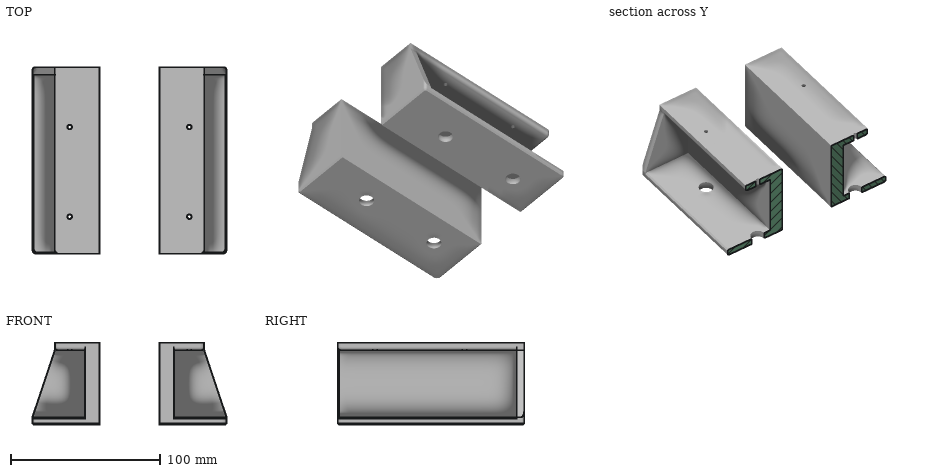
import cadquery as cq

overall_width = 130.0
length = 125.0
height = 55.0
gap = 40.0
outer_x = -overall_width / 2
inner_x = -gap / 2
base_width = inner_x - outer_x

plate_thickness = 5.1
back_thickness = 10.0
end_thickness = 5.0
top_width = 30.0
top_x = inner_x - top_width
front_y = -length / 2
end_y = length / 2

front_corner_radius = 3.0
end_corner_radius = 2.0
edge_chamfer = 1.0
back_chamfer = 0.5
top_edge_radius = 2.0

screw_diameter = 2.9
access_diameter = 10.0
hole_inset = 20.0
front_hole_inset = 25.0
hole_x = inner_x - hole_inset
first_hole_y = front_y + front_hole_inset
hole_spacing = 60.0
hole_points = [(hole_x, first_hole_y), (hole_x, first_hole_y + hole_spacing)]


def block(x_min, width, depth, tall, z_min):
    """Box that starts at x_min, at the open front, and at z_min."""
    return cq.Workplane("XY").box(width, depth, tall, centered=False).translate((x_min, front_y, z_min))


def rounded_base(tall):
    """Base footprint with both outer corners rounded, raised to the given height."""
    return (
        block(outer_x, base_width, length, tall, 0)
        .edges("|Z and <X and <Y").fillet(front_corner_radius)
        .edges("|Z and <X and >Y").fillet(end_corner_radius)
        .faces("<Z").edges("not >X").chamfer(edge_chamfer)
    )


def base_plate():
    """Base with the upper rim chamfered too, and the access holes through it."""
    return (
        rounded_base(plate_thickness)
        .faces(">Z").edges("not >X").chamfer(edge_chamfer)
        .faces("<Z").workplane(origin=(0, 0, 0), invert=True)
        .pushPoints(hole_points)
        .circle(access_diameter / 2).cutBlind(plate_thickness)
    )


def top_plate():
    """Top plate, with its lower outer edges rounded and the screw holes through it."""
    plate = (
        block(top_x, top_width, length, plate_thickness, height - plate_thickness)
        .edges("|Z and <X and <Y").fillet(front_corner_radius)
        .faces("<Z").edges("not (>X or >Y)").fillet(top_edge_radius)
    )
    screw_holes = (
        cq.Workplane("XY").pushPoints(hole_points)
        .circle(screw_diameter / 2).extrude(plate_thickness)
        .translate((0, 0, height - plate_thickness))
    )
    return plate.cut(screw_holes)


def back_wall():
    """Back wall, with a shallow chamfer on its front edge inside the channel."""
    wall = block(inner_x - back_thickness, back_thickness, length, height, 0)
    wall = wall.edges("|Z and <X and <Y").chamfer(edge_chamfer, back_chamfer)
    return wall.faces("<Z").edges("<Y or >Y").chamfer(edge_chamfer)


def end_wall():
    """Closed end, sloping from the base in to the narrower top."""
    slope = (
        cq.Workplane("XZ", origin=(0, end_y, 0))
        .moveTo(inner_x, 0)
        .lineTo(outer_x, 0)
        .lineTo(outer_x, plate_thickness)
        .lineTo(top_x, height - plate_thickness)
        .lineTo(top_x, height)
        .lineTo(inner_x, height)
        .close()
        .extrude(end_thickness)
    )
    return slope.intersect(rounded_base(height))


def bracket():
    """Left bracket as one solid."""
    return base_plate().union(back_wall()).union(end_wall()).union(top_plate()).clean()


left_bracket = bracket()
right_bracket = left_bracket.mirror("YZ")

result = cq.Compound.makeCompound([left_bracket.val(), right_bracket.val()])